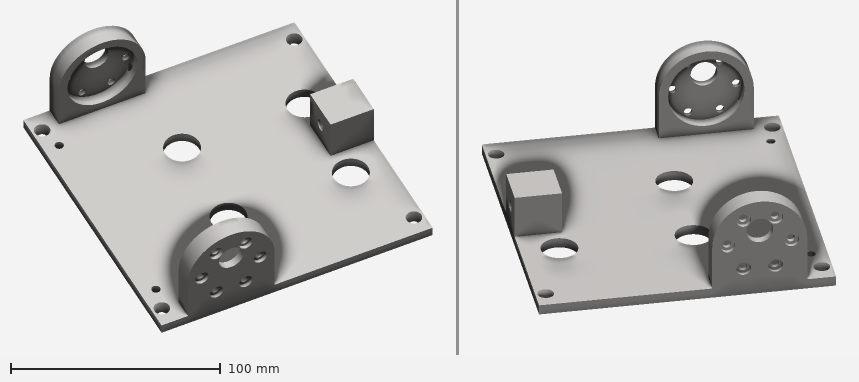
import cadquery as cq
import math

plate_x = 149.0
plate_y = 144.0
plate_thickness = 5.0

bracket_thickness = 10.0
bracket_width = 46.0
bracket_radius = bracket_width / 2
bracket_front_gap = 14.0
bracket_y = -plate_y / 2 + bracket_front_gap + bracket_radius
overall_height = 51.0
bracket_axis_z = overall_height - bracket_radius

seat_diameter = 37.0
seat_depth = 6.0
shaft_diameter = 13.0
shaft_rise = 7.0
screw_count = 6
screw_circle_radius = 15.5
screw_diameter = 4.0
screw_head_diameter = 7.0
screw_head_depth = 2.0

foot_hole_diameter = 3.5
foot_hole_end_inset = 5.0
foot_hole_depth = 23.0
foot_hole_spacing_x = plate_x - bracket_thickness
foot_hole_spacing_y = bracket_width - 2 * foot_hole_end_inset

block_x = 22.0
block_y = 23.0
block_height = 21.8
block_hole_diameter = 6.0
block_hole_z = plate_thickness + block_height / 2

opening_diameter = 18.0
opening_spacing_x = 50.0
opening_spacing_y = 65.0
opening_back_inset = 19.0
opening_y = plate_y / 2 - opening_back_inset - opening_spacing_y / 2

corner_inset_x = 10.0
corner_inset_y = 5.0
corner_top_diameter = 7.9
corner_bottom_diameter = 4.5
corner_half_angle = math.atan((corner_top_diameter - corner_bottom_diameter) / 2 / plate_thickness)
corner_cone_angle = math.degrees(2 * corner_half_angle)

front_hole_diameter = 4.5
front_hole_inset_x = 22.4
front_hole_inset_y = 8.0


def make_plate():
    plate = cq.Workplane("XY").box(plate_x, plate_y, plate_thickness, centered=(True, True, False))
    plate = (
        plate.faces(">Z").workplane(origin=(0, opening_y, 0))
        .rarray(opening_spacing_x, opening_spacing_y, 2, 2)
        .hole(opening_diameter)
    )
    plate = (
        plate.faces(">Z").workplane(origin=(0, 0, 0))
        .rarray(plate_x - 2 * corner_inset_x, plate_y - 2 * corner_inset_y, 2, 2)
        .cskHole(corner_bottom_diameter, corner_top_diameter, corner_cone_angle)
    )
    return (
        plate.faces(">Z").workplane(origin=(0, -plate_y / 2 + front_hole_inset_y, 0))
        .rarray(plate_x - 2 * front_hole_inset_x, 1.5, 2, 1)
        .hole(front_hole_diameter)
    )


def make_block():
    block = (
        cq.Workplane("XY", origin=(0, (plate_y - block_y) / 2, plate_thickness))
        .box(block_x, block_y, block_height, centered=(True, True, False))
    )
    hole = (
        cq.Workplane("XZ", origin=(0, plate_y / 2, block_hole_z))
        .circle(block_hole_diameter / 2)
        .extrude(block_y)
    )
    return block.cut(hole)


def bracket_plane(depth):
    """YZ plane on the motor axis, at a depth inward from the left side of the plate."""
    return cq.Workplane("YZ", origin=(-plate_x / 2 + depth, bracket_y, bracket_axis_z))


def make_left_bracket():
    foot_drop = bracket_axis_z - plate_thickness
    body = (
        bracket_plane(0)
        .moveTo(-bracket_radius, -foot_drop)
        .lineTo(bracket_radius, -foot_drop)
        .lineTo(bracket_radius, 0)
        .threePointArc((0, bracket_radius), (-bracket_radius, 0))
        .close()
        .extrude(bracket_thickness)
    )
    seat = bracket_plane(bracket_thickness - seat_depth).circle(seat_diameter / 2).extrude(seat_depth)
    shaft_hole = (
        bracket_plane(0)
        .center(0, shaft_rise)
        .circle(shaft_diameter / 2)
        .extrude(bracket_thickness)
    )
    screw_holes = (
        bracket_plane(0)
        .polarArray(screw_circle_radius, 0, 360, screw_count)
        .circle(screw_diameter / 2)
        .extrude(bracket_thickness)
    )
    head_recesses = (
        bracket_plane(0)
        .polarArray(screw_circle_radius, 0, 360, screw_count)
        .circle(screw_head_diameter / 2)
        .extrude(screw_head_depth)
    )
    return body.cut(seat).cut(shaft_hole).cut(screw_holes).cut(head_recesses)


def make_foot_holes():
    return (
        cq.Workplane("XY", origin=(0, bracket_y, 0))
        .rarray(foot_hole_spacing_x, foot_hole_spacing_y, 2, 2)
        .circle(foot_hole_diameter / 2)
        .extrude(foot_hole_depth)
    )


left_bracket = make_left_bracket()
right_bracket = left_bracket.mirror("YZ")

result = (
    make_plate()
    .union(make_block())
    .union(left_bracket)
    .union(right_bracket)
    .cut(make_foot_holes())
)